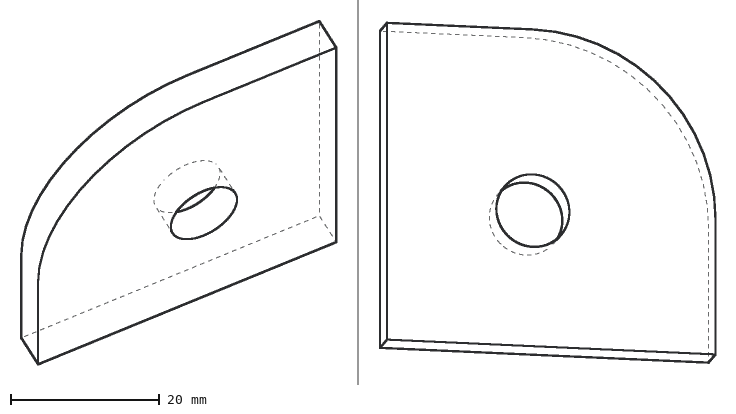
import cadquery as cq

thickness = 5.0
width = 45.0
height = 43.75
corner_radius = 25.0
hole_diameter = 10.0

hole_y = corner_radius - width / 2
hole_z = height / 2 - corner_radius


def rounded_plate():
    """Flat plate with one large rounded corner."""
    plate = cq.Workplane("XY").box(thickness, width, height)
    return plate.edges("|X").edges("<Y").edges(">Z").fillet(corner_radius)


def through_hole():
    """Cylinder that cuts the hole through the full thickness."""
    return (
        cq.Workplane("YZ", origin=(-thickness / 2, hole_y, hole_z))
        .circle(hole_diameter / 2)
        .extrude(thickness)
    )


result = rounded_plate().cut(through_hole())